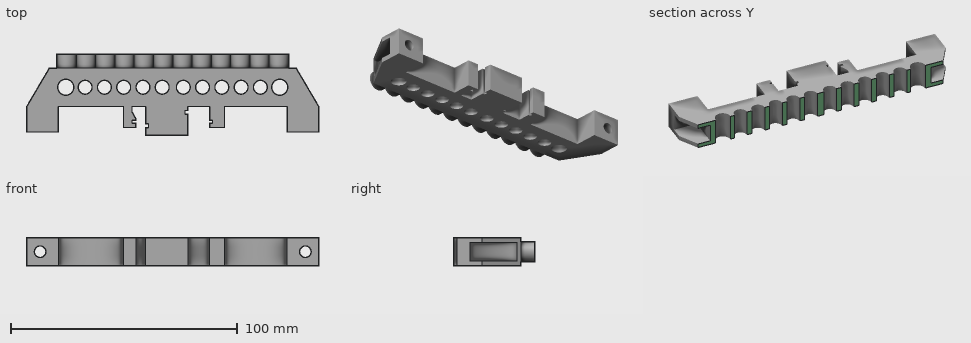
import cadquery as cq


length = 129.0
thickness = 12.5
overall_depth = 35.8
boss_height = 6.2
body_top = overall_depth - boss_height
beam_bottom = 12.6
shoulder_run = 10.0
foot_width = 14.0
foot_bottom = 1.4

clip_bottom = 3.4
left_clip_outer = -21.8
left_clip_root = -17.9
left_clip_tip = -16.3
left_clip_taper_top = 10.3
left_clip_taper_bottom = 7.4
right_clip_inner = 16.3
right_clip_outer = 22.9
tongue_left = -12.0
tongue_right = 6.7
clip_notch_bottom = 5.4
clip_notch_top = 6.6
notch_depth = 1.2
left_tongue_notch_bottom = 3.4
left_tongue_notch_top = 5.0
right_tongue_notch_bottom = 9.3
right_tongue_notch_top = 10.9

boss_count = 12
boss_diameter = 9.0
boss_pitch = 8.5

wire_hole_diameter = 6.0
end_hole_diameter = 7.0
wire_hole_y = 21.2
wire_hole_pitch = boss_pitch
wire_holes_per_side = 5
centre_gap = 9.3
end_hole_x = 47.2

mount_hole_diameter = 5.0
mount_hole_inset = 6.0
pocket_depth = 11.0
pocket_height = 8.2
pocket_bottom = 7.3
pocket_top = 27.9


def block(x_min, x_max, y_min, y_max, height=thickness):
    """Box between two corners, centred on Z = 0."""
    return (
        cq.Workplane("XY")
        .box(x_max - x_min, y_max - y_min, height)
        .translate(((x_min + x_max) / 2, (y_min + y_max) / 2, 0))
    )


def make_body():
    """Beam with sloping shoulders and a square foot at each end."""
    end = length / 2
    foot_inner = end - foot_width
    right_half = [
        (foot_inner, beam_bottom),
        (foot_inner, foot_bottom),
        (end, foot_bottom),
        (end, beam_bottom),
        (end - shoulder_run, body_top),
    ]
    left_half = [(-x, y) for x, y in reversed(right_half)]
    outline = cq.Workplane("XY").polyline(right_half + left_half).close()
    return outline.extrude(thickness / 2, both=True)


def make_left_clip():
    """Clip whose inner face tapers out to a hooked, notched tip."""
    outline = [
        (left_clip_outer, beam_bottom),
        (left_clip_outer, clip_bottom),
        (left_clip_tip, clip_bottom),
        (left_clip_tip, clip_notch_bottom),
        (left_clip_root, clip_notch_bottom),
        (left_clip_root, clip_notch_top),
        (left_clip_tip, clip_notch_top),
        (left_clip_tip, left_clip_taper_bottom),
        (left_clip_root, left_clip_taper_top),
        (left_clip_root, beam_bottom),
    ]
    return cq.Workplane("XY").polyline(outline).close().extrude(thickness / 2, both=True)


def make_right_clip():
    """Straight clip with one notch in its inner face."""
    notch_end = right_clip_inner + notch_depth
    clip = block(right_clip_inner, right_clip_outer, clip_bottom, beam_bottom)
    return clip.cut(block(right_clip_inner, notch_end, clip_notch_bottom, clip_notch_top))


def make_tongue():
    """Central tongue with a notch in each side."""
    left_notch_end = tongue_left + notch_depth
    right_notch_start = tongue_right - notch_depth
    tongue = block(tongue_left, tongue_right, 0, beam_bottom)
    tongue = tongue.cut(
        block(tongue_left, left_notch_end, left_tongue_notch_bottom, left_tongue_notch_top)
    )
    return tongue.cut(
        block(right_notch_start, tongue_right, right_tongue_notch_bottom, right_tongue_notch_top)
    )


def y_cylinder(x, diameter, y_min, y_max):
    """Cylinder along Y on the mid-plane Z = 0."""
    start = cq.Vector(x, y_min, 0)
    direction = cq.Vector(0, 1, 0)
    return cq.Workplane(cq.Solid.makeCylinder(diameter / 2, y_max - y_min, start, direction))


def add_bosses(part):
    """Row of overlapping round bosses along the top edge."""
    first_x = -boss_pitch * (boss_count - 1) / 2
    for index in range(boss_count):
        x = first_x + index * boss_pitch
        part = part.union(y_cylinder(x, boss_diameter, body_top, overall_depth))
    return part


def cut_wire_holes(part):
    """Two mirrored groups of wire holes, each ending in a larger hole."""
    offsets = [centre_gap / 2 + index * wire_hole_pitch for index in range(wire_holes_per_side)]
    wire_points = [(side * x, wire_hole_y) for side in (-1, 1) for x in offsets]
    end_points = [(side * end_hole_x, wire_hole_y) for side in (-1, 1)]
    for points, diameter in ((wire_points, wire_hole_diameter), (end_points, end_hole_diameter)):
        drills = cq.Workplane("XY").pushPoints(points).circle(diameter / 2)
        part = part.cut(drills.extrude(thickness / 2, both=True))
    return part


def cut_ends(part):
    """Pocket open to each end face, met by a mounting hole through the foot."""
    end = length / 2
    for side in (-1, 1):
        x_range = sorted((side * end, side * (end - pocket_depth)))
        part = part.cut(block(*x_range, pocket_bottom, pocket_top, pocket_height))
        hole_x = side * (end - mount_hole_inset)
        part = part.cut(y_cylinder(hole_x, mount_hole_diameter, foot_bottom, pocket_bottom))
    return part


result = make_body().union(make_left_clip()).union(make_right_clip()).union(make_tongue())
result = add_bosses(result)
result = cut_wire_holes(result)
result = cut_ends(result)